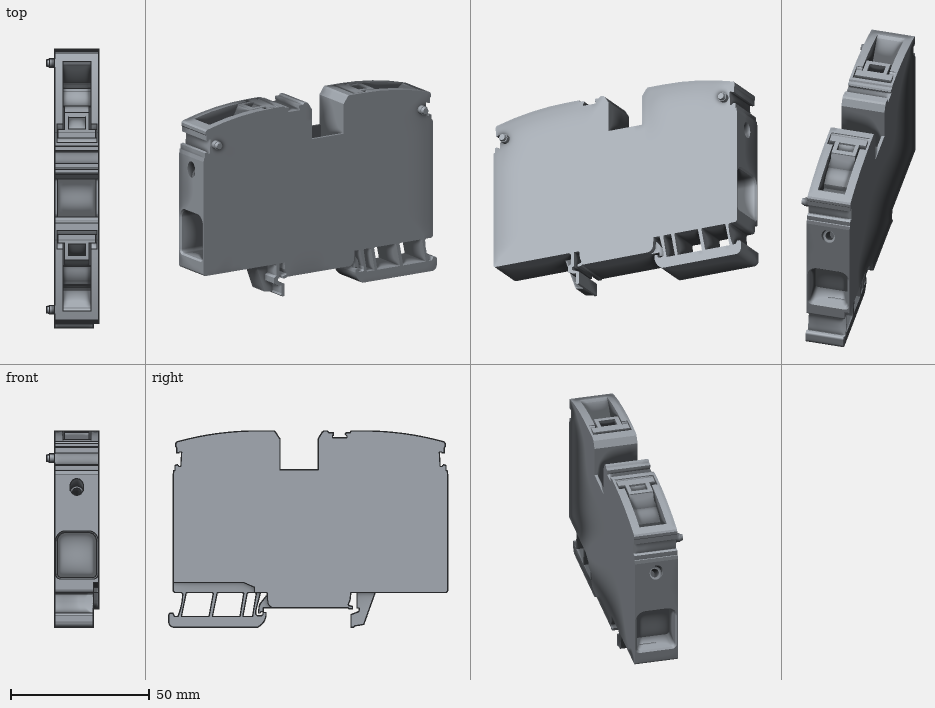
import cadquery as cq
import math


width = 16.1
height = 71.1
half_length = 49.7
body_bottom = 12.5
base_bottom = 7.1
bottom_corner = 0.9
foot_width = 14.0
mid_x = width / 2
over = 1.0

arch_start = 19.5
arch_end = 48.3
arch_drop = 3.9
arch_radius = ((arch_end - arch_start) ** 2 + arch_drop**2) / (2 * arch_drop)

gap_left = 2.7
gap_right = -11.0
gap_floor = 57.0
gap_shoulder = 68.2
gap_recess = 5.6
gap_rim = 1.1

pin_y = 44.6
pin_z = 61.2
pin_radius = 1.6
pin_length = 1.8
pin_tip_radii = (1.4, 1.1)
pin_tip_length = 1.1

pocket_x = (3.0, 13.1)
lever_x = (3.5, 12.4)
lever_front = 29.1
crossbar_x = (1.3, 14.8)
crossbar_y = (17.5, 20.5)
crossbar_slot_x = (0.9, 15.2)
crossbar_slot_y = (16.0, 22.6)
crossbar_slot_depths = (0.4, 1.2, 1.5, 0.4)
side_gap_depth = 4.5
window_x = (5.0, 11.1)
window_y = (20.8, 24.7)
window_slant = 1.4
window_depths = (0.8, 6.5)

test_hole_z = 50.8
test_hole_tilt = 35.0
test_hole_diameters = (4.9, 3.1)
test_hole_depths = (3.0, 11.1)

entry_x = (1.0, 15.1)
entry_z = (18.1, 34.3)
entry_depth = 9.4
entry_top_radius = 3.0
entry_bottom_radius = 1.2
entry_lead_in = 0.6
entry_slot_x = (6.8, 13.1)
entry_slot_y = 45.1
entry_slot_width = 0.8
entry_slot_depth = 0.2

hook_x = (2.0, foot_width)
latch_web_x = (6.1, foot_width)
foot_end = half_length - 101.0
foot_bar_top = 3.9
foot_end_radius = 1.9
foot_lip_top = 5.1
foot_lip_radius = 0.8
foot_corner = 0.4
relief_top = 16.3


def arch_z(y):
    """Height of the arched roof at a distance y from the middle."""
    run = y - arch_start
    return height - arch_radius + math.sqrt(arch_radius**2 - run**2)


def prism(profile, x_range):
    """Extrude a closed (Y, Z) wire along X."""
    return profile.extrude(x_range[1] - x_range[0])


def profile_plane(x):
    return cq.Workplane("YZ", origin=(x, 0, 0))


def polygon_prism(points, x_range):
    return prism(profile_plane(x_range[0]).polyline(points).close(), x_range)


def block(x_range, y_range, z_range):
    ranges = (x_range, y_range, z_range)
    sizes = [high - low for low, high in ranges]
    corner = [low for low, high in ranges]
    return cq.Workplane("XY").box(*sizes, centered=False).translate(tuple(corner))


def both_ends(shape):
    """The shape together with its mirror image at the other end."""
    return shape.union(shape.mirror("XZ"))


def make_housing():
    end_steps = [
        (half_length, body_bottom),
        (half_length, 55.3),
        (49.5, 56.7),
        (49.1, 56.7),
        (49.1, 58.6),
        (48.2, 58.9),
        (47.6, 58.3),
        (47.0, 58.3),
        (46.6, 63.4),
        (47.5, 63.4),
        (47.7, 63.1),
        (48.5, 63.1),
        (48.5, 65.0),
        (48.8, 65.4),
        (48.8, 66.5),
    ]
    marker_groove = [
        (14.6, height),
        (14.3, 70.5),
        (12.9, 70.5),
        (12.5, 69.9),
        (13.1, 69.3),
        (13.1, 68.7),
        (8.0, 68.7),
        (8.0, 69.4),
        (8.3, 69.4),
        (8.3, 70.5),
        (6.6, 70.5),
        (6.1, height),
        (4.8, height),
    ]
    arch_middle = (arch_start + arch_end) / 2
    outline = (
        profile_plane(0)
        .polyline(end_steps)
        .lineTo(arch_end, arch_z(arch_end))
        .threePointArc((arch_middle, arch_z(arch_middle)), (arch_start, height))
        .polyline(marker_groove, includeCurrent=True)
        .lineTo(4.2, 70.6)
        .lineTo(gap_left, gap_shoulder)
        .lineTo(gap_left, gap_floor)
        .lineTo(gap_right, gap_floor)
        .lineTo(gap_right, gap_shoulder)
        .lineTo(-12.6, 70.6)
        .lineTo(-13.2, height)
        .lineTo(-arch_start, height)
        .threePointArc((-arch_middle, arch_z(arch_middle)), (-arch_end, arch_z(arch_end)))
        .polyline([(-y, z) for y, z in reversed(end_steps)], includeCurrent=True)
        .close()
    )
    housing = prism(outline, (0, width)).edges("|X and <Z").fillet(bottom_corner)
    floor_recess = block(
        (gap_rim, width - gap_rim), (gap_right, gap_left), (gap_floor - gap_recess, gap_floor + over)
    )
    relief_points = [
        (-half_length - over, body_bottom - over),
        (-half_length - over, relief_top),
        (-24.2, relief_top),
        (-20.2, 14.4),
        (-20.2, body_bottom - over),
    ]
    relief = polygon_prism(relief_points, (foot_width, width + over))
    return housing.cut(floor_recess).cut(relief)


def make_pin():
    pin = cq.Workplane("YZ", origin=(0, pin_y, pin_z)).circle(pin_radius).extrude(-pin_length)
    tip = (
        cq.Workplane("YZ", origin=(-pin_length, pin_y, pin_z))
        .circle(pin_tip_radii[0])
        .workplane(offset=-pin_tip_length)
        .circle(pin_tip_radii[1])
        .loft()
    )
    return pin.union(tip)


def lever_cutters():
    top = height + over
    lip_y = 45.1
    pocket_profile = (
        profile_plane(pocket_x[0])
        .moveTo(lip_y, top)
        .lineTo(lip_y, arch_z(lip_y))
        .threePointArc((44.6, 67.6), (43.9, 67.2))
        .lineTo(37.5, 60.6)
        .lineTo(36.8, 60.6)
        .lineTo(35.9, 61.4)
        .lineTo(35.4, 63.0)
        .lineTo(34.2, 63.8)
        .threePointArc((31.9, 65.1), (lever_front, 65.6))
        .lineTo(26.7, 70.5)
        .lineTo(26.7, top)
        .close()
    )
    cutters = prism(pocket_profile, pocket_x)

    for x_range in ((pocket_x[0], lever_x[0]), (lever_x[1], pocket_x[1])):
        side_gap = block(x_range, (crossbar_y[1], lever_front + over), (height - side_gap_depth, top))
        cutters = cutters.union(side_gap)

    slot_points = [
        (crossbar_slot_y[0], top),
        (crossbar_slot_y[0], height - crossbar_slot_depths[0]),
        (crossbar_y[0], height - crossbar_slot_depths[1]),
        (crossbar_y[1], height - crossbar_slot_depths[2]),
        (crossbar_slot_y[1], height - crossbar_slot_depths[3]),
        (crossbar_slot_y[1], top),
    ]
    standing_z = (height - side_gap_depth, top)
    slot = polygon_prism(slot_points, crossbar_slot_x)
    slot = slot.cut(block(crossbar_x, crossbar_y, standing_z))
    slot = slot.cut(block(lever_x, (crossbar_y[1], crossbar_slot_y[1]), standing_z))

    window_points = [
        (window_y[0], top),
        (window_y[0], height - window_depths[0]),
        (window_y[1] + window_slant, height - window_depths[1]),
        (window_y[1], top),
    ]
    return cutters.union(slot).union(polygon_prism(window_points, window_x))


def test_hole_cutter():
    tilt = math.radians(test_hole_tilt)
    inward = cq.Vector(0, -math.cos(tilt), -math.sin(tilt))
    mouth = cq.Vector(mid_x, half_length, test_hole_z)
    run_out = 3.0
    start = mouth - inward * run_out
    bore, hole = [
        cq.Workplane(cq.Solid.makeCylinder(diameter / 2, depth + run_out, start, inward))
        for diameter, depth in zip(test_hole_diameters, test_hole_depths)
    ]
    return bore.union(hole)


def entry_cutter():
    def rounded_opening(grow, depth, taper):
        """Rounded opening running into the end face, `grow` larger all round than the entry."""
        x_low, x_high = entry_x[0] - grow, entry_x[1] + grow
        z_low, z_high = entry_z[0] - grow, entry_z[1] + grow
        top_radius = entry_top_radius + grow
        bottom_radius = entry_bottom_radius + grow
        return (
            cq.Workplane("XZ", origin=(0, half_length, 0))
            .moveTo(x_low, z_low + bottom_radius)
            .lineTo(x_low, z_high - top_radius)
            .radiusArc((x_low + top_radius, z_high), top_radius)
            .lineTo(x_high - top_radius, z_high)
            .radiusArc((x_high, z_high - top_radius), top_radius)
            .lineTo(x_high, z_low + bottom_radius)
            .radiusArc((x_high - bottom_radius, z_low), bottom_radius)
            .lineTo(x_low + bottom_radius, z_low)
            .radiusArc((x_low, z_low + bottom_radius), bottom_radius)
            .close()
            .extrude(depth, taper=taper)
        )

    entry = rounded_opening(0, entry_depth, 0)
    flare = rounded_opening(entry_lead_in, entry_lead_in, 45)
    slot = (
        cq.Workplane("XY", origin=(sum(entry_slot_x) / 2, entry_slot_y, entry_z[0]))
        .slot2D(entry_slot_x[1] - entry_slot_x[0], entry_slot_width)
        .extrude(-entry_slot_depth)
    )
    return entry.union(flare).union(slot)


def make_base():
    outline = (
        profile_plane(0)
        .moveTo(14.6, body_bottom)
        .lineTo(14.3, 9.9)
        .lineTo(13.7, 8.3)
        .lineTo(13.9, 7.9)
        .lineTo(15.2, 7.6)
        .lineTo(15.2, 6.7)
        .lineTo(13.9, 6.7)
        .lineTo(13.5, base_bottom)
        .lineTo(-13.2, base_bottom)
        .threePointArc((-14.8, 7.9), (-15.4, 9.6))
        .lineTo(-15.8, body_bottom)
        .close()
    )
    return prism(outline, (0, width))


def make_rail_hook():
    points = [
        (-13.2, base_bottom),
        (-17.1, base_bottom),
        (-17.1, 5.7),
        (-17.9, 5.7),
        (-18.2, 5.1),
        (-18.9, 5.1),
        (-18.6, 7.8),
        (-18.2, 8.6),
        (-16.1, 11.3),
        (-14.1, 11.3),
    ]
    return polygon_prism(points, hook_x)


def make_latch():
    strip_points = [
        (18.8, body_bottom),
        (18.1, 11.9),
        (18.1, 8.1),
        (19.2, 7.5),
        (19.2, 5.4),
        (17.1, 4.2),
        (15.9, 4.2),
        (15.9, 1.2),
        (16.2, 0.5),
        (15.5, 0.0),
        (14.6, 0.0),
        (14.6, 4.6),
        (17.6, 5.8),
        (17.6, 7.0),
        (16.8, 7.0),
        (16.8, body_bottom),
    ]
    web_points = [
        (23.4, body_bottom),
        (19.3, 1.0),
        (16.2, 0.5),
        (15.9, 1.2),
        (15.9, 4.2),
        (17.1, 4.2),
        (18.1, 8.1),
        (18.1, body_bottom),
    ]
    strip = polygon_prism(strip_points, (0, foot_width))
    return strip.union(polygon_prism(web_points, latch_web_x))


def make_foot():
    outline = (
        profile_plane(0)
        .moveTo(-18.1, body_bottom)
        .lineTo(-19.8, 6.0)
        .lineTo(-19.8, 4.7)
        .lineTo(-19.3, 4.2)
        .lineTo(-17.7, 4.2)
        .lineTo(-17.3, 4.6)
        .lineTo(-17.3, 5.5)
        .lineTo(-16.1, 5.5)
        .lineTo(-16.1, 4.2)
        .threePointArc((-17.2, 1.6), (-19.2, 0))
        .lineTo(foot_end + foot_end_radius, 0)
        .radiusArc((foot_end, foot_end_radius), foot_end_radius)
        .lineTo(foot_end, foot_lip_top - foot_lip_radius)
        .radiusArc((foot_end + foot_lip_radius, foot_lip_top), foot_lip_radius)
        .lineTo(-49.8, foot_lip_top)
        .lineTo(-49.2, foot_bar_top)
        .lineTo(-48.0, foot_bar_top)
        .threePointArc((-46.7, 7.9), (-46.2, 12.0))
        .lineTo(-46.6, body_bottom)
        .close()
    )
    foot = prism(outline, (0, foot_width))
    openings = [
        ((-19.6, -22.8), (-21.0, -24.4)),
        ((-24.1, -33.7), (-25.5, -35.4)),
        ((-35.1, -44.9), (-36.8, -46.6)),
    ]
    for (top_left, top_right), (bottom_left, bottom_right) in openings:
        corners = [
            (top_left, body_bottom),
            (top_right, body_bottom),
            (bottom_right, foot_bar_top),
            (bottom_left, foot_bar_top),
        ]
        opening = polygon_prism(corners, (0, foot_width)).edges("|X and >Z").fillet(foot_corner)
        foot = foot.cut(opening)
    return foot


housing = make_housing().union(both_ends(make_pin()))
for cutter in (lever_cutters(), test_hole_cutter(), entry_cutter()):
    housing = housing.cut(cutter).cut(cutter.mirror("XZ"))

result = housing
for part in (make_base(), make_rail_hook(), make_latch(), make_foot()):
    result = result.union(part)